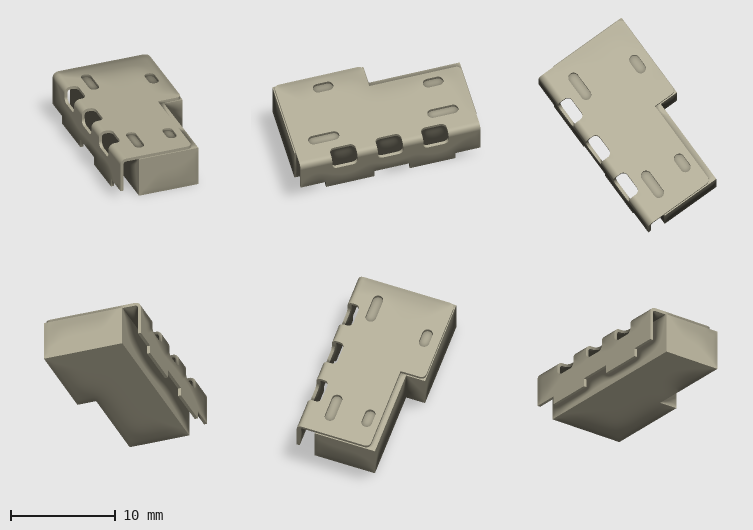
import cadquery as cq

LENGTH = 18.0
DEPTH = 9.85
HEIGHT = 4.3

SHEET = 0.3
BLOCK_HEIGHT = HEIGHT - SHEET
BLOCK_DEPTH = 8.0
BLOCK_STEP = 1.9

SIDE_MARGIN = 0.1
BACK_MARGIN = 0.07
COVER_STEP_X = LENGTH / 2 - SIDE_MARGIN
COVER_STEP_Y = 2.5
BEND_RADIUS = 0.6
CORNER_RADIUS = 0.5

WINDOW_WIDTH = 2.5
WINDOW_PITCH = 4.5
WINDOW_ON_TOP = 1.3
WINDOW_ON_FLANGE = 1.53
WINDOW_RADIUS = 0.5

NOTCH_HEIGHT = 0.83
END_NOTCH_WIDTH = 2.5
MIDDLE_NOTCH_WIDTH = 3.5
MIDDLE_NOTCH_LEFT = 7.4

SLOT_WIDTH = 1.0
SHORT_SLOT = 2.0
LONG_SLOT = 3.05
LONG_SLOT_INSET = 3.0
LONG_SLOT_FROM_BACK = 7.18
LEFT_SHORT_SLOT = (4.6, 1.45)
RIGHT_SHORT_SLOT = (LENGTH - SIDE_MARGIN - LONG_SLOT_INSET, 3.65)

COVER_LEFT = SIDE_MARGIN
COVER_RIGHT = LENGTH - SIDE_MARGIN


def corner_box(x_min, x_max, y_min, y_max, z_min, z_max):
    """Box between the given limits."""
    size = (x_max - x_min, y_max - y_min, z_max - z_min)
    return cq.Workplane("XY").box(*size, centered=False).translate((x_min, y_min, z_min))


def make_block():
    """Solid L-shaped body."""
    full = corner_box(0, LENGTH, -BLOCK_DEPTH, 0, 0, BLOCK_HEIGHT)
    step = corner_box(LENGTH / 2, LENGTH, -BLOCK_STEP, 0, 0, BLOCK_HEIGHT)
    return full.cut(step)


def make_bent_sheet():
    """Sheet of constant thickness, bent down along the front edge."""
    inner_radius = BEND_RADIUS - SHEET
    outer = corner_box(COVER_LEFT, COVER_RIGHT, -DEPTH, -BACK_MARGIN, 0, HEIGHT)
    inner = corner_box(COVER_LEFT, COVER_RIGHT, SHEET - DEPTH, -BACK_MARGIN, 0, BLOCK_HEIGHT)
    outer = outer.edges("<Y and >Z").fillet(BEND_RADIUS)
    inner = inner.edges("<Y and >Z").fillet(inner_radius)
    sheet = outer.cut(inner)
    step = corner_box(COVER_STEP_X, COVER_RIGHT, -COVER_STEP_Y, -BACK_MARGIN, BLOCK_HEIGHT, HEIGHT)
    return sheet.cut(step)


def round_back_corners(sheet):
    """Round the three outward corners along the back of the top plate."""
    outward_corners = (
        (COVER_LEFT, -BACK_MARGIN),
        (COVER_STEP_X, -BACK_MARGIN),
        (COVER_RIGHT, -COVER_STEP_Y),
    )
    for x, y in outward_corners:
        corner = cq.selectors.NearestToPointSelector((x, y, HEIGHT - SHEET / 2))
        sheet = sheet.edges("|Z").edges(corner).fillet(CORNER_RADIUS)
    return sheet


def make_window(x):
    """Cutter for one window: a rounded opening in the plate and in the flange."""
    left = x - WINDOW_WIDTH / 2
    right = x + WINDOW_WIDTH / 2
    window_bottom = HEIGHT - WINDOW_ON_FLANGE
    window_back = WINDOW_ON_TOP - DEPTH
    plate_part = corner_box(left, right, -DEPTH, window_back, BLOCK_HEIGHT, HEIGHT)
    plate_part = plate_part.edges("|Z and >Y").fillet(WINDOW_RADIUS)
    flange_part = corner_box(left, right, -DEPTH, BEND_RADIUS - DEPTH, window_bottom, HEIGHT)
    flange_part = flange_part.edges("|Y and <Z").fillet(WINDOW_RADIUS)
    return plate_part.union(flange_part)


def make_notch(x_min, x_max):
    """Cutter for one notch in the lower edge of the flange."""
    return corner_box(x_min, x_max, -DEPTH, SHEET - DEPTH, 0, NOTCH_HEIGHT)


def make_slot(x, distance_from_back, length):
    """Cutter for one obround slot through the top plate."""
    outline = cq.Workplane("XY").slot2D(length, SLOT_WIDTH)
    return outline.extrude(SHEET).translate((x, -distance_from_back, BLOCK_HEIGHT))


def make_cover():
    """Complete sheet cover with windows, notches and slots."""
    cover = round_back_corners(make_bent_sheet())

    for offset in (-WINDOW_PITCH, 0, WINDOW_PITCH):
        cover = cover.cut(make_window(LENGTH / 2 + offset))

    cover = cover.cut(make_notch(COVER_LEFT, COVER_LEFT + END_NOTCH_WIDTH))
    cover = cover.cut(make_notch(MIDDLE_NOTCH_LEFT, MIDDLE_NOTCH_LEFT + MIDDLE_NOTCH_WIDTH))
    cover = cover.cut(make_notch(COVER_RIGHT - END_NOTCH_WIDTH, COVER_RIGHT))

    for x in (COVER_LEFT + LONG_SLOT_INSET, COVER_RIGHT - LONG_SLOT_INSET):
        cover = cover.cut(make_slot(x, LONG_SLOT_FROM_BACK, LONG_SLOT))
    for x, distance_from_back in (LEFT_SHORT_SLOT, RIGHT_SHORT_SLOT):
        cover = cover.cut(make_slot(x, distance_from_back, SHORT_SLOT))
    return cover


result = make_block().union(make_cover())